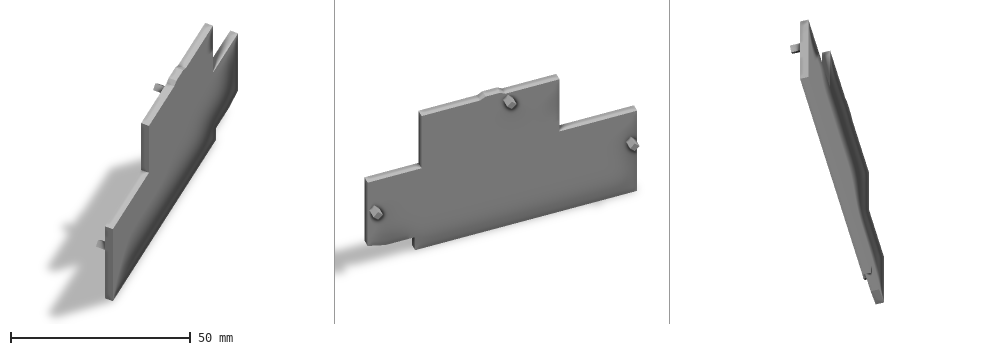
import cadquery as cq

length = 80.75
thickness = 2.4
body_top = 50.0
shoulder_top = 30.3

front_shoulder_length = 23.25
back_shoulder_length = 16.15

tab_height = 0.9
tab_front = 39.6
tab_crest_length = 4.4
tab_front_ramp = 1.45
tab_back_ramp = 1.7

notch_length = 14.2
notch_height = 4.9
slope_length = 5.4
slope_height = 1.45

peg_length = 3.1
peg_diagonal = 2.8
peg_end_inset = 1.9
low_peg_z = 19.7
high_peg_y = 38.8
high_peg_z = 48.0


def make_plate():
    front_wall = front_shoulder_length
    back_wall = length - back_shoulder_length
    crest_front = tab_front + tab_front_ramp
    crest_back = crest_front + tab_crest_length
    outline = [
        (0, 0),
        (0, shoulder_top),
        (front_wall, shoulder_top),
        (front_wall, body_top),
        (tab_front, body_top),
        (crest_front, body_top + tab_height),
        (crest_back, body_top + tab_height),
        (crest_back + tab_back_ramp, body_top),
        (back_wall, body_top),
        (back_wall, shoulder_top),
        (length, shoulder_top),
        (length, notch_height + slope_height),
        (length - slope_length, notch_height),
        (length - notch_length, notch_height),
        (length - notch_length, 0),
    ]
    return cq.Workplane("YZ").polyline(outline).close().extrude(thickness)


def make_pegs():
    centers = [
        (peg_end_inset, low_peg_z),
        (high_peg_y, high_peg_z),
        (length - peg_end_inset, low_peg_z),
    ]
    return cq.Workplane("YZ").pushPoints(centers).polygon(4, peg_diagonal).extrude(-peg_length)


result = make_plate().union(make_pegs())